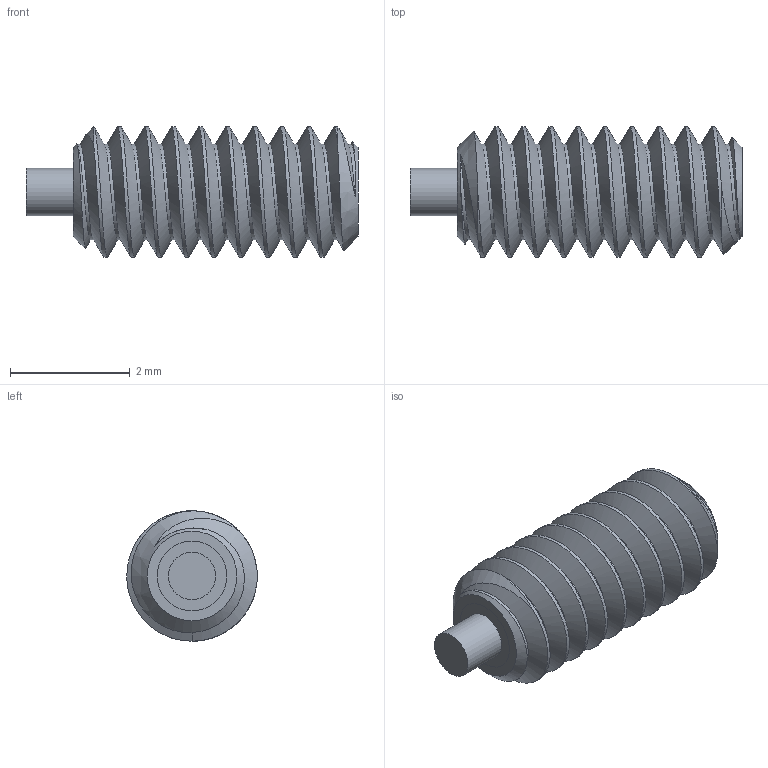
import cadquery as cq
import math


inch = 25.4
threads_per_inch = 56
major_radius = 2.184 / 2
pitch = inch / threads_per_inch
flank_angle = 30.0
crest_width = pitch / 8
root_width = pitch / 8
flank_tangent = math.tan(math.radians(flank_angle))
thread_depth = (pitch - crest_width - root_width) / 2 / flank_tangent
root_radius = major_radius - thread_depth
groove_offset = 0.086

sleeve_length = 3 / 16 * inch
end_face_radius = 0.748
chamfer = major_radius - end_face_radius
bore_radius = 0.583
bore_depth = sleeve_length / 2

nose_length = 1 / 32 * inch
nose_radius = nose_length / 2

overcut = 0.04


def groove_turn():
    """One turn of the thread groove, wound about +X from the bottom (-Z)."""
    outer_radius = major_radius + overcut
    half_root = root_width / 2
    half_mouth = half_root + (outer_radius - root_radius) * flank_tangent
    section = cq.Wire.makePolygon(
        [
            cq.Vector(root_radius, 0, -half_root),
            cq.Vector(outer_radius, 0, -half_mouth),
            cq.Vector(outer_radius, 0, half_mouth),
            cq.Vector(root_radius, 0, half_root),
        ],
        close=True,
    )
    helix = cq.Wire.makeHelix(pitch, pitch, root_radius)
    turn = cq.Solid.sweep(section, [], helix, makeSolid=True, isFrenet=True)
    return turn.rotate(cq.Vector(0, 0, 0), cq.Vector(0, 1, 0), 90)


def make_sleeve():
    blank = cq.Workplane("YZ").circle(major_radius).extrude(sleeve_length)
    body = blank.faces("<X or >X").chamfer(chamfer).val()

    turn = groove_turn()
    for index in range(math.ceil(sleeve_length / pitch) + 2):
        start = groove_offset - pitch / 2 + index * pitch
        body = body.cut(turn.translate(cq.Vector(start, 0, 0)))

    bore = cq.Workplane("YZ").circle(bore_radius).extrude(bore_depth)
    return cq.Workplane(body).cut(bore).solids()


def make_pin():
    collar = cq.Workplane("YZ").circle(bore_radius).extrude(bore_depth)
    nose = cq.Workplane("YZ").circle(nose_radius).extrude(-nose_length)
    return collar.union(nose).solids()


sleeve = make_sleeve()
pin = make_pin()

result = cq.Compound.makeCompound([sleeve.val(), pin.val()])